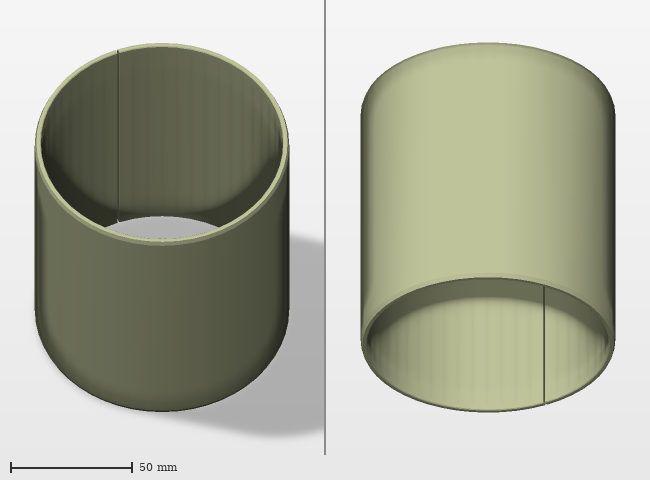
import cadquery as cq

length = 115.0
outer_diameter = 105.0
wall = 2.5
outer_bevel_height = 1.8
outer_bevel_depth = 0.7
inner_bevel = 0.3
slit_width = 0.8

outer_radius = outer_diameter / 2
inner_radius = outer_radius - wall
half_length = length / 2


def sleeve():
    """Revolve the wall section, bevelled at both ends, about Z."""
    bevel_radius = outer_radius - outer_bevel_depth
    bore_mouth_radius = inner_radius + inner_bevel
    outer_edge = half_length - outer_bevel_height
    inner_edge = half_length - inner_bevel
    section = (
        cq.Workplane("XZ")
        .moveTo(inner_radius, -inner_edge)
        .lineTo(bore_mouth_radius, -half_length)
        .lineTo(bevel_radius, -half_length)
        .lineTo(outer_radius, -outer_edge)
        .lineTo(outer_radius, outer_edge)
        .lineTo(bevel_radius, half_length)
        .lineTo(bore_mouth_radius, half_length)
        .lineTo(inner_radius, inner_edge)
        .close()
    )
    return section.revolve(360, (0, 0, 0), (0, 1, 0))


def slit():
    """Thin cutter through the -X wall over the full length."""
    return (
        cq.Workplane("XY")
        .box(2 * wall, slit_width, length)
        .translate((wall / 2 - outer_radius, 0, 0))
    )


result = sleeve().cut(slit())